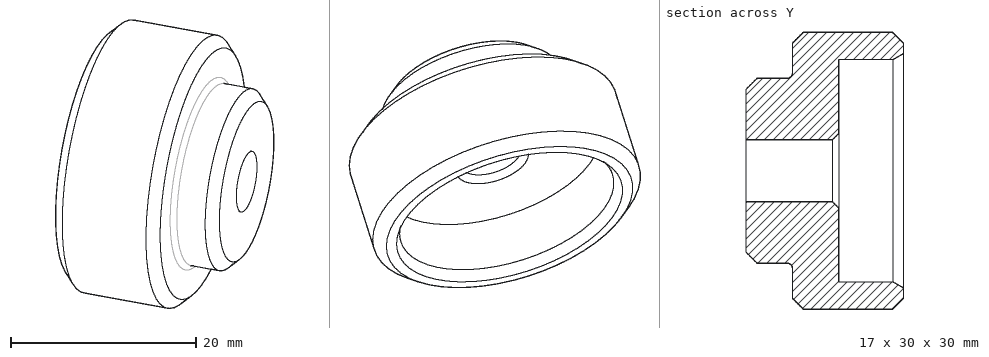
import cadquery as cq

disc_diameter = 30.0
disc_width = 12.0
chamfer = 1.2

boss_diameter = 20.0
total_length = 17.0
root_fillet = 0.57

recess_mouth_diameter = 25.32
recess_diameter = 24.0
mouth_chamfer_depth = 1.15
recess_depth = 7.0

hole_diameter = 6.65
countersink_diameter = 8.05
countersink_depth = (countersink_diameter - hole_diameter) / 2


def make_body():
    """Revolve the chamfered disc and boss about the X axis."""
    disc_radius = disc_diameter / 2
    boss_radius = boss_diameter / 2
    profile = (
        cq.Workplane("XY")
        .lineTo(0, disc_radius - chamfer)
        .lineTo(chamfer, disc_radius)
        .lineTo(disc_width - chamfer, disc_radius)
        .lineTo(disc_width, disc_radius - chamfer)
        .lineTo(disc_width, boss_radius + root_fillet)
        .radiusArc((disc_width + root_fillet, boss_radius), -root_fillet)
        .lineTo(total_length - chamfer, boss_radius)
        .lineTo(total_length, boss_radius - chamfer)
        .lineTo(total_length, 0)
        .close()
    )
    return profile.revolve(360, (0, 0, 0), (1, 0, 0))


def make_cavity():
    """Revolve the chamfered recess, countersink and through hole about the X axis."""
    recess_radius = recess_diameter / 2
    hole_radius = hole_diameter / 2
    profile = (
        cq.Workplane("XY")
        .lineTo(0, recess_mouth_diameter / 2)
        .lineTo(mouth_chamfer_depth, recess_radius)
        .lineTo(recess_depth, recess_radius)
        .lineTo(recess_depth, countersink_diameter / 2)
        .lineTo(recess_depth + countersink_depth, hole_radius)
        .lineTo(total_length, hole_radius)
        .lineTo(total_length, 0)
        .close()
    )
    return profile.revolve(360, (0, 0, 0), (1, 0, 0))


result = make_body().cut(make_cavity())